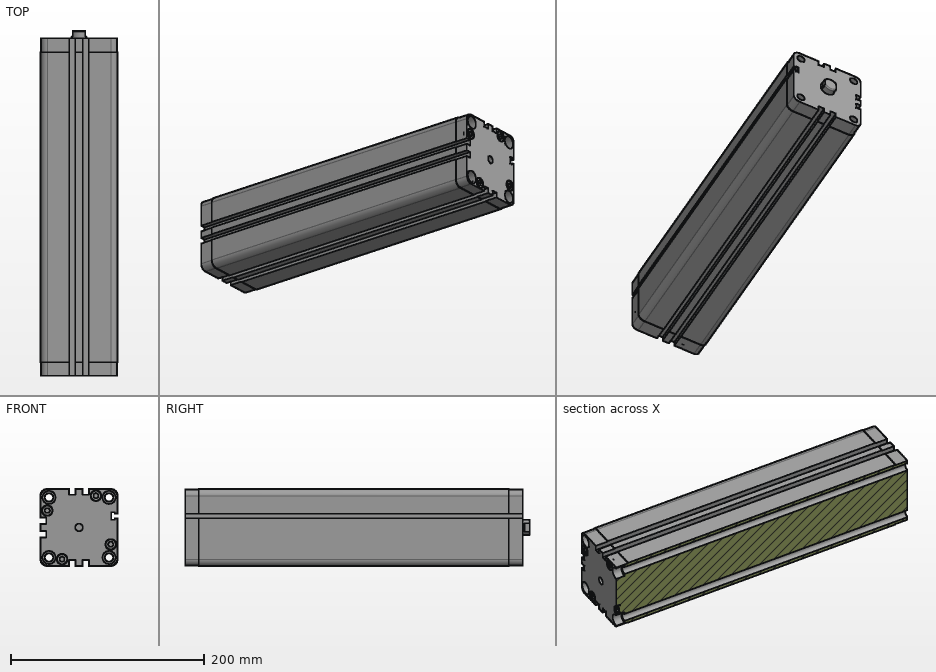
import cadquery as cq

total_length = 357.5
cap_length = 14.3
rod_length = 7.5

front_face = -total_length / 2
rod_tip = total_length / 2
back_face = rod_tip - rod_length

barrel_width = 80.0
cap_inset = 0.55
barrel_corner_radius = 7.0
cap_width = barrel_width - 2 * cap_inset
cap_corner_radius = barrel_corner_radius - cap_inset

slot_width = 6.5
slot_spacing = 14.0
slot_floor = 34.0

t_slot_height = 11.8
t_slot_floor = 33.5
t_slot_lip = 37.0
t_slot_head_width = 7.5
t_slot_mouth_width = 5.0

mount_offset = 31.0
mount_hole_diameter = 8.5
mount_bore_diameter = 13.5
mount_bore_depth = 10.0

screw_edge_offset = 33.0
screw_side_offset = 17.5
screw_pocket_diameter = 11.0
screw_pocket_depth = 5.0
screw_head_diameter = 10.5
screw_recess = 0.7
socket_corner_diameter = 5.7
socket_depth = 3.0

port_diameter = 8.0
port_depth = 10.0

rod_diameter = 16.0
rod_tip_radius = 1.25
flat_width = 13.2
flat_length = 5.5
rod_overlap = 3.5


def section(y):
    """Workplane at position y, with local X along X, local Y along Z and normal along -Y."""
    return cq.Workplane("XZ", origin=(0, y, 0))


def rounded_bar(width, corner_radius, y_start, y_end):
    bar = section(y_end).rect(width, width).extrude(y_end - y_start)
    return bar.edges("|Y").fillet(corner_radius)


def block(x_min, x_max, z_centre, width):
    """Full-length block used to cut a slot into the +X side."""
    outline = section(rod_tip).center((x_min + x_max) / 2, z_centre).rect(x_max - x_min, width)
    return outline.extrude(total_length)


def turned(shape, angle):
    """Turn a shape about the long axis of the cylinder."""
    return shape.rotate((0, 0, 0), (0, 1, 0), angle)


result = rounded_bar(cap_width, cap_corner_radius, front_face, back_face)
result = result.union(
    rounded_bar(barrel_width, barrel_corner_radius, front_face + cap_length, back_face - cap_length)
)

for angle in (90, 180, 270):
    for side in (-1, 1):
        slot = block(slot_floor, barrel_width, side * slot_spacing / 2, slot_width)
        result = result.cut(turned(slot, angle))

result = result.cut(block(t_slot_floor, t_slot_lip, t_slot_height, t_slot_head_width))
result = result.cut(block(t_slot_floor, barrel_width, t_slot_height, t_slot_mouth_width))

mount_points = [(sx * mount_offset, sz * mount_offset) for sx in (-1, 1) for sz in (-1, 1)]
mount_holes = section(rod_tip).pushPoints(mount_points).circle(mount_hole_diameter / 2).extrude(total_length)
mount_bores = section(front_face).pushPoints(mount_points).circle(mount_bore_diameter / 2)
result = result.cut(mount_holes).cut(mount_bores.extrude(-mount_bore_depth))

screw_pocket = section(front_face).center(screw_side_offset, screw_edge_offset)
screw_pocket = screw_pocket.circle(screw_pocket_diameter / 2).extrude(-screw_pocket_depth)
head_plane = section(front_face + screw_recess).center(screw_side_offset, screw_edge_offset)
screw_head = head_plane.circle(screw_head_diameter / 2).extrude(screw_recess - screw_pocket_depth)
socket = head_plane.transformed(rotate=(0, 0, 90)).polygon(6, socket_corner_diameter).extrude(-socket_depth)
screw_head = screw_head.cut(socket)
for angle in (0, 90, 180, 270):
    result = result.cut(turned(screw_pocket, angle)).union(turned(screw_head, angle))

result = result.cut(section(front_face).circle(port_diameter / 2).extrude(-port_depth))

rod = section(rod_tip).circle(rod_diameter / 2).extrude(rod_length + rod_overlap)
rod = rod.faces(">Y").edges().fillet(rod_tip_radius)
flat_end = rod_tip - flat_length
flat_x = flat_width / 2
flat_depth = rod_diameter / 2 - flat_x
flat_cut = (
    cq.Workplane("XY", origin=(0, 0, -rod_diameter / 2))
    .moveTo(flat_x, rod_tip)
    .lineTo(flat_x, flat_end)
    .lineTo(flat_x + flat_depth, flat_end - flat_depth)
    .lineTo(flat_x + flat_depth, rod_tip)
    .close()
    .extrude(rod_diameter)
)
for angle in (0, 180):
    rod = rod.cut(turned(flat_cut, angle))
result = result.union(rod)